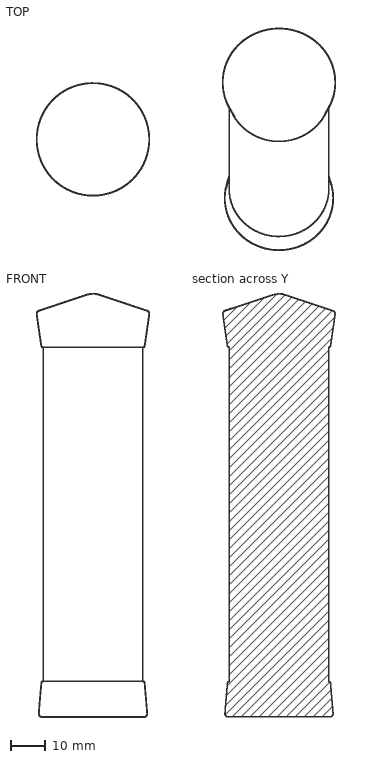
import cadquery as cq
import math

total_height = 123.0
tube_radius = 29.0 / 2

neck_radius = 15.0
rim_fillet = 1.0
neck_fillet = 0.5
foot_radius = 15.88
foot_height = 10.4
head_radius = 16.5
head_bottom = 107.4

roof_angle = math.atan(1 / 3)
tip_radius = 5.5
tip_centre_height = total_height - tip_radius
roof_apex = tip_centre_height + tip_radius / math.cos(roof_angle)
eave_height = roof_apex - head_radius * math.tan(roof_angle)


def tip_point(angle):
    """Point of the spherical tip at the given angle from the axis."""
    return (tip_radius * math.sin(angle), tip_centre_height + tip_radius * math.cos(angle))


def revolve_profile(profile):
    """Close a half outline and spin it around the Z axis."""
    return profile.close().revolve(360, (0, 0), (0, 1))


def round_rim(cap, radius, height, fillet):
    """Round the circular edge of the given radius at the given height."""
    tolerance = 1e-3
    rim = [
        edge
        for edge in cap.edges("%CIRCLE").vals()
        if abs(edge.radius() - radius) < tolerance and abs(edge.Center().z - height) < tolerance
    ]
    return cap.newObject(rim).fillet(fillet)


def make_foot():
    profile = (
        cq.Workplane("XZ")
        .lineTo(foot_radius, 0)
        .lineTo(neck_radius, foot_height)
        .lineTo(0, foot_height)
    )
    foot = revolve_profile(profile)
    foot = round_rim(foot, foot_radius, 0, rim_fillet)
    return round_rim(foot, neck_radius, foot_height, neck_fillet)


def make_head():
    profile = (
        cq.Workplane("XZ")
        .moveTo(0, head_bottom)
        .lineTo(neck_radius, head_bottom)
        .lineTo(head_radius, eave_height)
        .lineTo(*tip_point(roof_angle))
        .threePointArc(tip_point(roof_angle / 2), tip_point(0))
    )
    head = revolve_profile(profile)
    head = round_rim(head, neck_radius, head_bottom, neck_fillet)
    return round_rim(head, head_radius, eave_height, rim_fillet)


def make_tube():
    """Solid shaft that runs from the top of the foot to the underside of the head."""
    return (
        cq.Workplane("XY", origin=(0, 0, foot_height - neck_fillet))
        .circle(tube_radius)
        .extrude(head_bottom - foot_height + 2 * neck_fillet)
    )


result = make_tube().union(make_foot()).union(make_head())